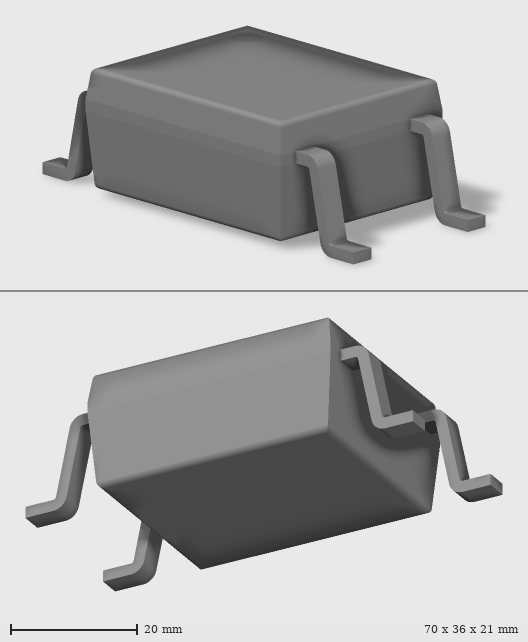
import cadquery as cq
import math

SPAN = 70.0
HEIGHT = 21.0
STANDOFF = 1.0

BODY_LENGTH = 43.9
BODY_WIDTH = 36.0
BELT_TOP = 15.9
UPPER_DRAFT = 8.0
LOWER_DRAFT = 4.8
EDGE_RADIUS = 1.0

LEAD_THICKNESS = 1.95
LEAD_WIDTH = 4.0
LEAD_PITCH = 25.4
FOOT_LENGTH = 5.45
LEG_LEAN = 12.0
INNER_BEND_RADIUS = 0.5
OUTER_BEND_RADIUS = INNER_BEND_RADIUS + LEAD_THICKNESS
LEAD_EMBED = 3.5

MARK_DIAMETER = 5.0
MARK_DEPTH = 0.1
MARK_X = -15.8
MARK_Y = 12.0

BELT_BOTTOM = BELT_TOP - LEAD_THICKNESS


def make_body():
    """Belt, drafted upper and lower halves, rounded top and bottom rims."""
    belt_plane = cq.Workplane("XY", origin=(0, 0, BELT_BOTTOM))
    belt = belt_plane.rect(BODY_LENGTH, BODY_WIDTH).extrude(LEAD_THICKNESS)
    upper = (
        belt_plane.workplane(offset=LEAD_THICKNESS)
        .rect(BODY_LENGTH, BODY_WIDTH)
        .extrude(HEIGHT - BELT_TOP, taper=UPPER_DRAFT)
    )
    lower = (
        belt_plane.rect(BODY_LENGTH, BODY_WIDTH)
        .extrude(STANDOFF - BELT_BOTTOM, taper=LOWER_DRAFT)
    )
    upper = upper.faces(">Z").edges().fillet(EDGE_RADIUS)
    lower = lower.faces("<Z").edges().fillet(EDGE_RADIUS)
    return belt.union(upper).union(lower)


def make_lead(side, y_centre):
    """One bent lead; side is -1 or +1 for the -X or +X end of the part."""
    lean = math.radians(LEG_LEAN)
    corner_shift = LEAD_THICKNESS * math.tan((math.pi / 2 - lean) / 2)

    tip = SPAN / 2
    foot_top = tip - FOOT_LENGTH
    foot_bottom = foot_top - corner_shift
    shoulder_top = foot_top - BELT_BOTTOM * math.tan(lean)
    shoulder_bottom = shoulder_top - corner_shift
    root = BODY_LENGTH / 2 - LEAD_EMBED

    outline = [
        (tip, 0),
        (tip, LEAD_THICKNESS),
        (foot_top, LEAD_THICKNESS),
        (shoulder_top, BELT_TOP),
        (root, BELT_TOP),
        (root, BELT_BOTTOM),
        (shoulder_bottom, BELT_BOTTOM),
        (foot_bottom, 0),
    ]
    lead = (
        cq.Workplane("XZ", origin=(0, y_centre, 0))
        .polyline([(side * x, z) for x, z in outline])
        .close()
        .extrude(LEAD_WIDTH / 2, both=True)
    )

    def round_bend(solid, x, z, radius):
        corner = cq.selectors.NearestToPointSelector((side * x, y_centre, z))
        return solid.edges("|Y").edges(corner).fillet(radius)

    lead = round_bend(lead, foot_top, LEAD_THICKNESS, INNER_BEND_RADIUS)
    lead = round_bend(lead, shoulder_bottom, BELT_BOTTOM, INNER_BEND_RADIUS)
    lead = round_bend(lead, shoulder_top, BELT_TOP, OUTER_BEND_RADIUS)
    return round_bend(lead, foot_bottom, 0, OUTER_BEND_RADIUS)


def make_mark():
    """Shallow disc to be sunk into the top face."""
    return (
        cq.Workplane("XY", origin=(MARK_X, MARK_Y, HEIGHT - MARK_DEPTH))
        .circle(MARK_DIAMETER / 2)
        .extrude(MARK_DEPTH)
    )


result = make_body().cut(make_mark())
for side in (-1, 1):
    for y_centre in (-LEAD_PITCH / 2, LEAD_PITCH / 2):
        result = result.union(make_lead(side, y_centre))